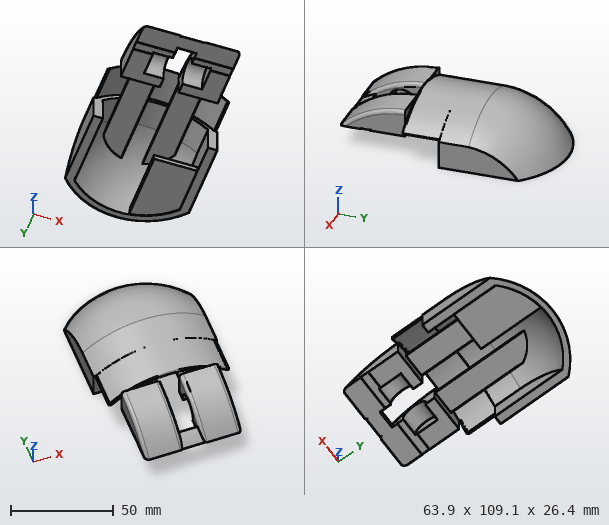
import cadquery as cq
import math

WIDTH = 63.94
HEIGHT = 26.44
DOME_LENGTH = 40.0
ARCH_RADIUS = 47.5
CAVITY_HEIGHT = 23.9
CAVITY_ARCH_RADIUS = 42.7
CAVITY_WIDTH = 54.3
CAVITY_DOME_LENGTH = 36.7
SHELL_FRONT = -34.95
HOOD_BOTTOM = 14.7
HOOD_THICKNESS = 0.6
WALL_FRONT = -15.5
FRONT_EDGE_RADIUS = 1.85 / 2

BUTTON_FRONT = -69.13
BUTTON_REAR = -35.5
BUTTON_BOTTOM = 10.1
BUTTON_HEIGHT = 13.75
BUTTON_WIDTH = 20.1
BUTTON_GAP = 9.8
BUTTON_FILLET = 2.0

BAR_FRONT = -68.8
BAR_REAR = -61.2
BAR_HEIGHT = 4.0
BAR_SAG = 0.25

WHEEL_Y = -47.7
WHEEL_Z = 12.0
WHEEL_RADIUS = 6.9
WHEEL_POCKET_DEPTH = 10.0

GROOVE_FRONT = -58.0
GROOVE_REAR = -53.4
GROOVE_DEPTH = 0.3

ARM_WIDTH = 13.0
ARM_INSET = 0.55
ARM_THICKNESS = 1.0
ARM_BOTTOM = 18.5

PLATE_INNER_X = 4.85
PLATE_BOTTOM = 0.3
PLATE_THICKNESS = 3.0

INNER_FACE = BUTTON_GAP / 2
OUTER_FACE = INNER_FACE + BUTTON_WIDTH


def box(x_range, y_range, z_range):
    """Box between the given limits along each axis."""
    size = [high - low for low, high in (x_range, y_range, z_range)]
    corner = (x_range[0], y_range[0], z_range[0])
    return cq.Workplane("XY").box(*size, centered=False).translate(corner)


def arch_section(width, apex, radius):
    """Section in the XZ plane at Y = 0: straight sides under an arc."""
    half = width / 2
    side_top = apex - radius + math.sqrt(radius**2 - half**2)
    return (
        cq.Workplane("XZ")
        .moveTo(-half, 0)
        .lineTo(-half, side_top)
        .threePointArc((0, apex), (half, side_top))
        .lineTo(half, 0)
        .close()
    )


def arched_body(width, apex, radius, dome_length):
    """Arched tunnel ahead of Y = 0 and a spherical dome behind it, both above Z = 0.

    The sphere meets the arch in the plane Y = 0 and reaches dome_length at the base.
    """
    tunnel = arch_section(width, apex, radius).extrude(-SHELL_FRONT)
    axis_z = apex - radius
    sphere_y = (radius**2 - dome_length**2 - axis_z**2) / (2 * dome_length)
    sphere_radius = math.hypot(radius, sphere_y)
    sphere = cq.Workplane("XY").sphere(sphere_radius).translate((0, -sphere_y, axis_z))
    dome_limits = box((-width / 2, width / 2), (0, dome_length), (0, apex))
    return tunnel.union(sphere.intersect(dome_limits))


def make_cavity():
    """Hollow under the shell, between the side walls."""
    return arched_body(CAVITY_WIDTH, CAVITY_HEIGHT, CAVITY_ARCH_RADIUS, CAVITY_DOME_LENGTH)


def make_hood_clearance():
    """Space ahead of the walls, under the arched inner face of the hood."""
    inner_apex = HEIGHT - HOOD_THICKNESS
    inner_radius = ARCH_RADIUS - HOOD_THICKNESS
    under_arch = arch_section(WIDTH, inner_apex, inner_radius).extrude(-SHELL_FRONT)
    return under_arch.intersect(box((-WIDTH, WIDTH), (SHELL_FRONT, WALL_FRONT), (0, HEIGHT)))


def make_shell(cavity):
    """Shell with side walls, a rear dome and a hood with a rounded front edge."""
    shell = arched_body(WIDTH, HEIGHT, ARCH_RADIUS, DOME_LENGTH)
    shell = shell.cut(box((-WIDTH, WIDTH), (SHELL_FRONT, WALL_FRONT), (0, HOOD_BOTTOM)))
    top_front_edge = cq.selectors.NearestToPointSelector((0, SHELL_FRONT, HEIGHT))
    shell = shell.faces("<Y").edges(top_front_edge).fillet(FRONT_EDGE_RADIUS)
    return shell.cut(cavity).cut(make_hood_clearance())


def make_button(inner_x, outer_x):
    """Button whose top curves from level at the rear down to the base at the front."""
    length = BUTTON_REAR - BUTTON_FRONT
    radius = (length**2 + BUTTON_HEIGHT**2) / (2 * BUTTON_HEIGHT)
    button_top = BUTTON_BOTTOM + BUTTON_HEIGHT
    half_angle = math.atan2(length, radius - BUTTON_HEIGHT) / 2
    arc_middle = (
        BUTTON_REAR - radius * math.sin(half_angle),
        button_top - radius * (1 - math.cos(half_angle)),
    )
    left, right = sorted((inner_x, outer_x))
    return (
        cq.Workplane("YZ", origin=(left, 0, 0))
        .moveTo(BUTTON_REAR, BUTTON_BOTTOM)
        .lineTo(BUTTON_REAR, button_top)
        .threePointArc(arc_middle, (BUTTON_FRONT, BUTTON_BOTTOM))
        .close()
        .extrude(right - left)
        .edges("%CIRCLE")
        .fillet(BUTTON_FILLET)
    )


def make_bar():
    """Bar with a slightly hollow sloping top, reaching a little way into both buttons."""
    half_length = INNER_FACE + BUTTON_FILLET
    bar_top = BUTTON_BOTTOM + BAR_HEIGHT
    return (
        cq.Workplane("YZ", origin=(-half_length, 0, 0))
        .moveTo(BAR_FRONT, BUTTON_BOTTOM)
        .lineTo(BAR_REAR, BUTTON_BOTTOM)
        .lineTo(BAR_REAR, bar_top)
        .sagittaArc((BAR_FRONT, BUTTON_BOTTOM), -BAR_SAG)
        .close()
        .extrude(2 * half_length)
    )


def make_wheel_pocket():
    """Round cutter along X that crosses the gap between the buttons."""
    half_length = INNER_FACE + WHEEL_POCKET_DEPTH
    return (
        cq.Workplane("YZ", origin=(-half_length, WHEEL_Y, WHEEL_Z))
        .circle(WHEEL_RADIUS)
        .extrude(2 * half_length)
    )


def make_arm(side, cavity):
    """Arm from a button back to the dome, trimmed to the cavity where it runs inside the shell."""
    inner_x = side * (INNER_FACE + ARM_INSET)
    outer_x = inner_x + side * ARM_WIDTH
    x_range = sorted((inner_x, outer_x))
    z_range = (ARM_BOTTOM, ARM_BOTTOM + ARM_THICKNESS)
    front_part = box(x_range, (BUTTON_REAR, SHELL_FRONT), z_range)
    inside_part = box(x_range, (SHELL_FRONT, DOME_LENGTH), z_range)
    return front_part.union(inside_part.intersect(cavity))


def make_buttons():
    """Both buttons with their joining bar, wheel pocket and underside groove."""
    buttons = make_button(-INNER_FACE, -OUTER_FACE).union(make_button(INNER_FACE, OUTER_FACE))
    buttons = buttons.cut(make_wheel_pocket()).union(make_bar())
    groove_top = BUTTON_BOTTOM + GROOVE_DEPTH
    groove = box((-OUTER_FACE, OUTER_FACE), (GROOVE_FRONT, GROOVE_REAR), (BUTTON_BOTTOM, groove_top))
    return buttons.cut(groove)


def make_plate(cavity):
    """Plate over part of the dome floor, trimmed to the cavity."""
    z_range = (PLATE_BOTTOM, PLATE_BOTTOM + PLATE_THICKNESS)
    return box((PLATE_INNER_X, WIDTH / 2), (0, DOME_LENGTH), z_range).intersect(cavity)


shell_cavity = make_cavity()
result = make_shell(shell_cavity).union(make_plate(shell_cavity)).union(make_buttons())
for arm_side in (-1, 1):
    result = result.union(make_arm(arm_side, shell_cavity))